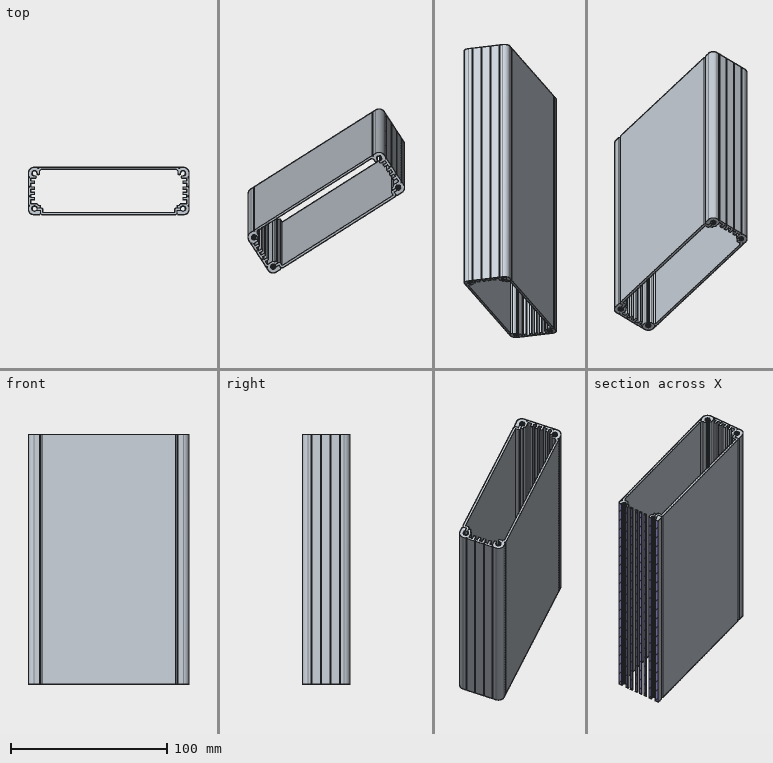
import cadquery as cq
import math

LENGTH = 160.0
WIDTH = 103.0
DEPTH = 30.5
BACK_RADIUS = 4.0
FRONT_RADIUS = 3.7
LEFT = -WIDTH / 2
FRONT = -DEPTH / 2
BACK = DEPTH / 2

SIDE_WALL = 1.6
BACK_WALL = 1.5
LID_WALL = 1.6

SCREW_RADIUS = 1.6
SCREW_INSET = 4.0
TOOTH_COUNT = 14
TOOTH_DEPTH = 0.3
SCREW_X = LEFT + SCREW_INSET
SCREW_BACK_Y = BACK - SCREW_INSET
SCREW_FRONT_Y = FRONT + SCREW_INSET

BOSS_REACH = 7.2
FINGER_THICKNESS = BOSS_REACH - SCREW_INSET - SCREW_RADIUS
BACK_FINGER_LENGTH = 5.0
SIDE_FINGER_LENGTH = 5.1
BACK_CORNER_CHAMFER = 1.1

RIB_REACH = 4.0
RIB_THICKNESS = 1.6
RIB_CENTERS = [-5.0, -1.6, 1.8, 5.6]

GROOVE_WIDTH = 0.5
GROOVE_DEPTH = 0.6
SIDE_GROOVE_PITCH = 6.0
SIDE_GROOVE_COUNT = 4
SIDE_GROOVE_CENTER = -0.3
BACK_GROOVE_INSET = 6.4

SEAM_INSET = 7.7
TONGUE_INSET = 5.5
TONGUE_BOTTOM = 2.9
TONGUE_TOP = 4.5
LIP_TOP = 6.0
BOSS_BEVEL = BOSS_REACH - LIP_TOP
LID_EDGE_INSET = 9.3
LID_EDGE_CHAMFER = 0.6
SEAM_BEVEL_DEPTH = 0.6
SEAM_BEVEL_HOUSING = 0.6
SEAM_BEVEL_LID = 1.1
SEAM_X = LEFT + SEAM_INSET
TONGUE_TIP_X = LEFT + TONGUE_INSET


def prism(points):
    """Extrude a closed XY outline over the full length."""
    return cq.Workplane("XY").polyline(points).close().extrude(LENGTH)


def block(x0, x1, y0, y1):
    """Full-length bar with a rectangular section."""
    return prism([(x0, y0), (x1, y0), (x1, y1), (x0, y1)])


def rod(x, y, radius):
    """Full-length round bar."""
    return cq.Workplane("XY").center(x, y).circle(radius).extrude(LENGTH)


def with_mirror(left_shape):
    """Add the right-hand copy of a left-hand shape."""
    return left_shape.union(left_shape.mirror("YZ"))


def make_envelope():
    """Solid bar with the rounded outer outline."""
    envelope = cq.Workplane("XY").rect(WIDTH, DEPTH).extrude(LENGTH)
    envelope = envelope.edges("|Z and >Y").fillet(BACK_RADIUS)
    return envelope.edges("|Z and <Y").fillet(FRONT_RADIUS)


def make_ribs():
    """Board guide ribs of the left wall."""
    half = RIB_THICKNESS / 2
    ribs = cq.Workplane("XY")
    for y in RIB_CENTERS:
        ribs = ribs.union(block(LEFT, LEFT + RIB_REACH, y - half, y + half))
    return ribs


def make_back_boss():
    """Material around the closed part of the left back screw channel."""
    flank_x = LEFT + BOSS_REACH
    wall_y = BACK - BACK_WALL
    chamfer_x = flank_x + BACK_CORNER_CHAMFER
    return prism([
        (LEFT, BACK), (LEFT, BACK - BOSS_REACH), (SCREW_X, BACK - BOSS_REACH), (SCREW_X, SCREW_BACK_Y),
        (flank_x, SCREW_BACK_Y), (flank_x, wall_y - BACK_CORNER_CHAMFER), (chamfer_x, wall_y),
        (chamfer_x, BACK),
    ])


def make_fingers():
    """Round-tipped fingers that flank the opening of the left back screw channel."""
    radius = FINGER_THICKNESS / 2
    back_x = LEFT + BOSS_REACH - radius
    back_tip_y = BACK - BACK_FINGER_LENGTH + radius
    back_finger = block(back_x - radius, back_x + radius, back_tip_y, BACK - BACK_WALL)
    back_finger = back_finger.union(rod(back_x, back_tip_y, radius))
    side_y = BACK - BOSS_REACH + radius
    side_tip_x = LEFT + SIDE_FINGER_LENGTH - radius
    side_finger = block(LEFT + SIDE_WALL, side_tip_x, side_y - radius, side_y + radius)
    side_finger = side_finger.union(rod(side_tip_x, side_y, radius))
    return back_finger.union(side_finger)


def make_front_boss():
    """Left front corner with the slot for the lid tongue and the lip above it."""
    boss = prism([
        (LEFT, FRONT), (SEAM_X - SEAM_BEVEL_HOUSING, FRONT), (SEAM_X, FRONT + SEAM_BEVEL_DEPTH),
        (SEAM_X, FRONT + LIP_TOP), (TONGUE_TIP_X + BOSS_BEVEL, FRONT + LIP_TOP),
        (TONGUE_TIP_X, FRONT + BOSS_REACH), (LEFT, FRONT + BOSS_REACH),
    ])
    return boss.cut(block(SCREW_X, SEAM_X, FRONT + TONGUE_BOTTOM, FRONT + TONGUE_TOP))


def make_screw_channel(y):
    """Toothed core of a left screw channel."""
    points = []
    for i in range(2 * TOOTH_COUNT):
        radius = SCREW_RADIUS + (TOOTH_DEPTH if i % 2 else -TOOTH_DEPTH) / 2
        angle = math.pi * i / TOOTH_COUNT
        points.append((SCREW_X + radius * math.cos(angle), y + radius * math.sin(angle)))
    return prism(points)


def make_grooves():
    """Cutters for the left side grooves and the left back groove."""
    half = GROOVE_WIDTH / 2
    back_x = LEFT + BACK_GROOVE_INSET
    grooves = block(back_x - half, back_x + half, BACK - GROOVE_DEPTH, BACK)
    first_y = SIDE_GROOVE_CENTER - SIDE_GROOVE_PITCH * (SIDE_GROOVE_COUNT - 1) / 2
    for i in range(SIDE_GROOVE_COUNT):
        y = first_y + i * SIDE_GROOVE_PITCH
        grooves = grooves.union(block(LEFT, LEFT + GROOVE_DEPTH, y - half, y + half))
    return grooves


def make_housing():
    """U-shaped extrusion: back wall, both side walls and the four screw corners."""
    envelope = make_envelope()
    inner_x = LEFT + SIDE_WALL
    shell = envelope.cut(block(inner_x, -inner_x, FRONT, BACK - BACK_WALL))
    bosses = make_back_boss().union(make_front_boss()).intersect(envelope)
    channels = make_screw_channel(SCREW_BACK_Y).union(make_screw_channel(SCREW_FRONT_Y))
    body = shell.union(with_mirror(bosses.union(make_ribs())))
    body = body.cut(with_mirror(channels.union(make_grooves())))
    return body.union(with_mirror(make_fingers()))


def make_lid():
    """Front plate with a stepped tongue along each long edge."""
    edge_x = LEFT + LID_EDGE_INSET
    left_half = prism([
        (0, FRONT), (SEAM_X + SEAM_BEVEL_LID, FRONT), (SEAM_X, FRONT + SEAM_BEVEL_DEPTH),
        (SEAM_X, FRONT + TONGUE_BOTTOM), (TONGUE_TIP_X, FRONT + TONGUE_BOTTOM),
        (TONGUE_TIP_X, FRONT + TONGUE_TOP), (edge_x - LID_EDGE_CHAMFER, FRONT + TONGUE_TOP),
        (edge_x, FRONT + TONGUE_TOP - LID_EDGE_CHAMFER), (edge_x, FRONT + LID_WALL), (0, FRONT + LID_WALL),
    ])
    return with_mirror(left_half)


housing = make_housing().solids()
lid = make_lid().solids()
result = cq.Compound.makeCompound([housing.val(), lid.val()])